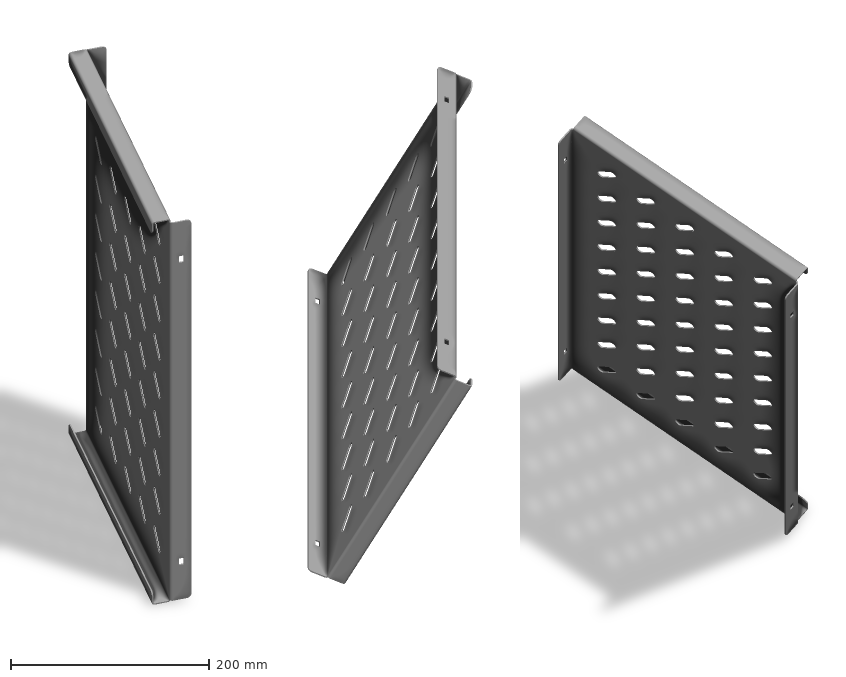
import cadquery as cq

width = 292.0
depth = 41.0
height = 497.0

thickness = 1.5
bend_radius = 3.0
inner_radius = bend_radius - thickness

flange_depth = 22.5
flange_corner_radius = 5.0
lip_height = 16.0
lip_corner_radius = 5.0

corner_relief = 3.25
flange_length = height - 2 * corner_relief
channel_length = width - 2 * corner_relief

back_y = depth / 2
front_y = -depth / 2
panel_front_y = back_y - flange_depth
panel_back_y = panel_front_y + thickness

slot_columns = 5
slot_rows = 9
slot_row_span = 400.0
slot_pitch = slot_row_span / (slot_rows - 1)
slot_length = 30.5
slot_width = 8.5
slot_angle = -45

hole_depth = 5.0
hole_height = 8.5
hole_from_back = 10.5
hole_from_end = 52.0


def make_side_tray():
    """Panel with a flange folded back along each vertical edge."""
    flange_center_y = (panel_front_y + back_y) / 2
    outer = (
        cq.Workplane("XY")
        .box(width, flange_depth, flange_length)
        .translate((0, flange_center_y, 0))
        .edges("|Z and <Y")
        .fillet(bend_radius)
    )
    inner = (
        cq.Workplane("XY")
        .box(width - 2 * thickness, flange_depth, flange_length)
        .translate((0, flange_center_y + thickness, 0))
        .edges("|Z and <Y")
        .fillet(inner_radius)
    )
    return outer.edges("|X and >Y").fillet(flange_corner_radius).cut(inner)


def make_end_channels():
    """Panel with both ends folded forward and returned as lips."""
    channel_depth = panel_back_y - front_y
    channel_center_y = (panel_back_y + front_y) / 2
    outer = (
        cq.Workplane("XY")
        .box(channel_length, channel_depth, height)
        .translate((0, channel_center_y, 0))
        .edges("|X")
        .fillet(bend_radius)
    )
    inner = (
        cq.Workplane("XY")
        .box(channel_length, channel_depth - 2 * thickness, height - 2 * thickness)
        .translate((0, channel_center_y, 0))
        .edges("|X")
        .fillet(inner_radius)
    )
    lip_opening = (
        cq.Workplane("XZ", origin=(0, front_y, 0))
        .rect(channel_length, height - 2 * lip_height)
        .extrude(-thickness)
    )
    channels = outer.cut(inner).cut(lip_opening)
    corner_finder = cq.selectors.BoxSelector(
        (-width, front_y - thickness, lip_height - height / 2 - thickness),
        (width, front_y + thickness, height / 2 - lip_height + thickness),
    )
    return channels.edges("|Y").edges(corner_finder).fillet(lip_corner_radius)


def make_slots():
    """Grid of diagonal slots centred on the panel."""
    return (
        cq.Workplane("XZ", origin=(0, panel_front_y, 0))
        .rarray(slot_pitch, slot_pitch, slot_columns, slot_rows)
        .slot2D(slot_length, slot_width, slot_angle)
        .extrude(-thickness)
    )


def make_flange_holes():
    """Rectangular holes running through both side flanges."""
    hole_spacing = height - 2 * hole_from_end
    return (
        cq.Workplane("YZ", origin=(0, back_y - hole_from_back, 0))
        .rarray(5, hole_spacing, 1, 2)
        .rect(hole_depth, hole_height)
        .extrude(width, both=True)
    )


result = make_side_tray().union(make_end_channels())
result = result.cut(make_slots()).cut(make_flange_holes())